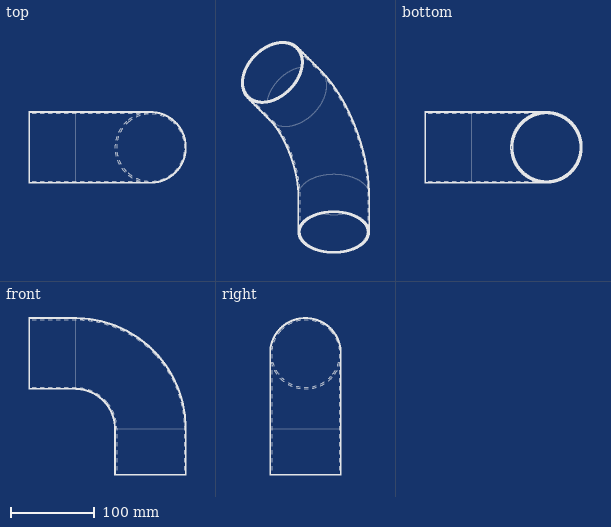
import cadquery as cq
import math

overall_length = 187.5
outer_diameter = 85.0
inner_diameter = 81.0
bend_radius = 90.0

straight_length = overall_length - bend_radius - outer_diameter / 2

bend_middle = bend_radius * math.cos(math.radians(45))
centreline = (
    cq.Workplane("XZ")
    .moveTo(-straight_length, bend_radius)
    .lineTo(0, bend_radius)
    .threePointArc((bend_middle, bend_middle), (bend_radius, 0))
    .lineTo(bend_radius, -straight_length)
)

pipe_section = (
    cq.Workplane("YZ", origin=(-straight_length, 0, bend_radius))
    .circle(outer_diameter / 2)
    .circle(inner_diameter / 2)
)
result = pipe_section.sweep(centreline)